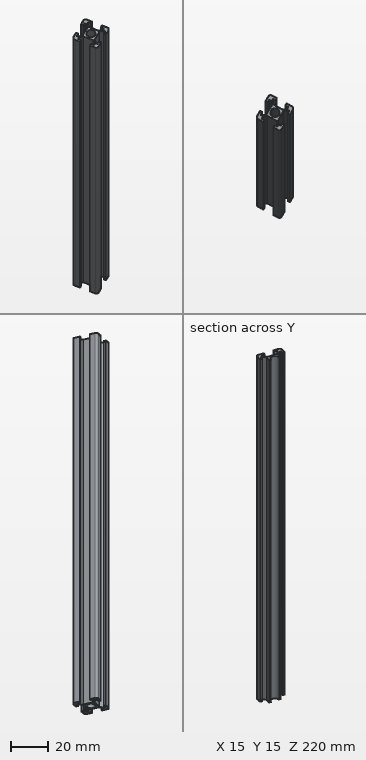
import cadquery as cq

length = 220.0
width = 15.0
corner_radius = 1.3
slot_opening = 6.0
lip_thickness = 1.3
corner_block = 2.9
core_width = 7.0
bore_diameter = 4.8
web_thickness = 0.9

half_width = width / 2
base_z = -length / 2


def bar(size_x, size_y, x=0.0, y=0.0):
    """Full-length rectangular bar centred at (x, y)."""
    return cq.Workplane("XY", origin=(x, y, base_z)).rect(size_x, size_y).extrude(length)


def corner():
    """Corner block with the two lips that reach toward the slot openings."""
    lip_length = half_width - slot_opening / 2
    lip_middle = half_width - lip_length / 2
    lip_depth = half_width - lip_thickness / 2
    block_middle = half_width - corner_block / 2
    block = bar(corner_block, corner_block, block_middle, block_middle)
    lip_x = bar(lip_length, lip_thickness, lip_middle, lip_depth)
    lip_y = bar(lip_thickness, lip_length, lip_depth, lip_middle)
    return block.union(lip_x).union(lip_y).edges("|Z and >(1,1,0)").fillet(corner_radius)


def diagonal_web(angle):
    """Web through the centre that joins two opposite corner blocks."""
    block_centre = half_width - corner_block / 2
    web_length = 2 * block_centre * 2**0.5
    return bar(web_length, web_thickness).rotate((0, 0, 0), (0, 0, 1), angle)


core = bar(core_width, core_width)
profile = core.union(diagonal_web(45)).union(diagonal_web(-45))
for quarter_turn in range(4):
    profile = profile.union(corner().rotate((0, 0, 0), (0, 0, 1), 90 * quarter_turn))

bore = cq.Workplane("XY", origin=(0, 0, base_z)).circle(bore_diameter / 2).extrude(length)
result = profile.cut(bore)